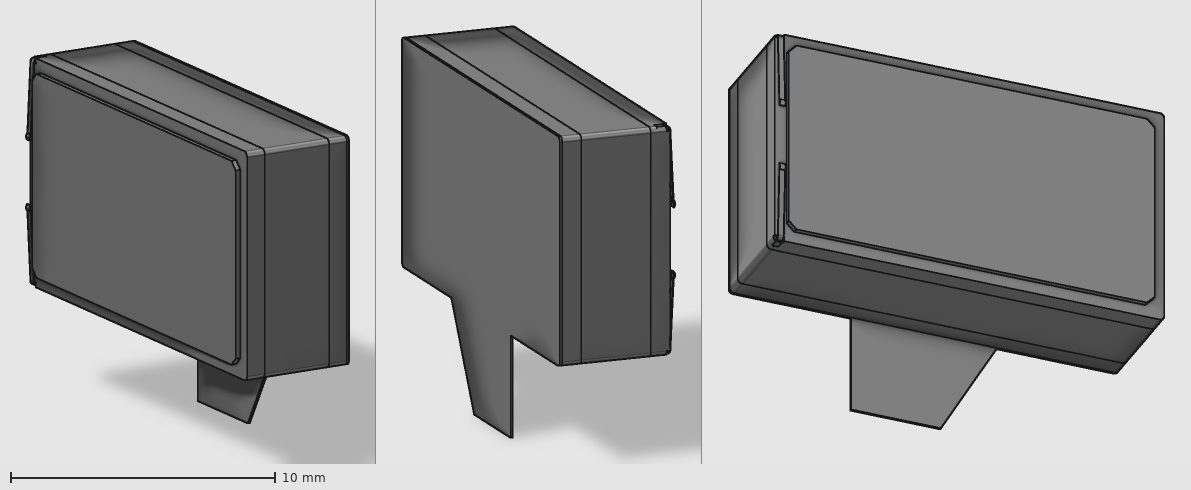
import cadquery as cq
import math

case_length = 16.0
case_height = 9.0
corner_diameter = 0.4
corner_radius = corner_diameter / 2
left_side = -case_length / 2
top_side = case_height / 2

plate_front = 0.1
rear_frame_front = 0.88
middle_frame_front = 3.71
case_front = 4.5

panel_front = 4.7
panel_margin = 0.5
panel_chamfer = 0.3

tail_left = left_side + 5.0
tail_right = left_side + 11.0
tail_length = 4.0
tail_slope_angle = 30.0

strip_thickness = 0.05
strip_width = 0.24
strip_left = left_side + 0.11
leg_rear = 4.0
leg_front = 4.37
leg_step = 0.05
blade_front = 4.56
bend_radius = 0.15
bend_rear = blade_front - bend_radius
tip_front = 4.75
tip_radius = 0.2
tip_half_angle = 45.0
tip_drop = 3.1

notch_width = 0.4
notch_height = leg_step + bend_radius


def slab(rear, front):
    """Layer of the case between two distances from the back face, with rounded corners."""
    return (
        cq.Workplane("XZ", origin=(0, -rear, 0))
        .rect(case_length, case_height)
        .extrude(front - rear)
        .edges("|Y")
        .fillet(corner_radius)
    )


def mirrored_to_bottom(body):
    return body.mirror("XY")


def make_back_plate():
    """Thin plate closing the back, with its tapered tail."""
    bottom_side = -top_side
    slope_run = tail_length * math.tan(math.radians(tail_slope_angle))
    tail_bottom = bottom_side - tail_length
    tail = (
        cq.Workplane("XZ")
        .polyline([
            (tail_left, 0),
            (tail_left, tail_bottom),
            (tail_right - slope_run, tail_bottom),
            (tail_right, bottom_side),
            (tail_right, 0),
        ])
        .close()
        .extrude(plate_front)
    )
    return slab(0, plate_front).union(tail)


def make_top_spring():
    """Strip with a leg sunk in the top face, a quarter bend, a slanted blade and a curved tip."""
    inner_bend = bend_radius - strip_thickness
    inner_tip = tip_radius - strip_thickness
    bend_centre_z = top_side - leg_step - bend_radius
    tip_centre_front = tip_front - tip_radius
    tip_centre_z = top_side - tip_drop

    def bend_point(radius, angle):
        """Point on the bend; the angle is measured from straight up, towards the front."""
        turn = math.radians(angle)
        return (-bend_rear - radius * math.sin(turn), bend_centre_z + radius * math.cos(turn))

    def tip_point(radius, angle):
        """Point on the tip; the angle is measured from straight ahead, upwards."""
        turn = math.radians(angle)
        return (-tip_centre_front - radius * math.cos(turn), tip_centre_z + radius * math.sin(turn))

    strip = (
        cq.Workplane("YZ", origin=(strip_left, 0, 0))
        .moveTo(-leg_rear, top_side)
        .lineTo(-leg_front, top_side)
        .lineTo(-leg_front, top_side - leg_step)
        .lineTo(*bend_point(bend_radius, 0))
        .threePointArc(bend_point(bend_radius, 45), bend_point(bend_radius, 90))
        .lineTo(*tip_point(tip_radius, tip_half_angle))
        .threePointArc(tip_point(tip_radius, 0), tip_point(tip_radius, -tip_half_angle))
        .lineTo(*tip_point(inner_tip, -tip_half_angle))
        .threePointArc(tip_point(inner_tip, 0), tip_point(inner_tip, tip_half_angle))
        .lineTo(*bend_point(inner_bend, 90))
        .threePointArc(bend_point(inner_bend, 45), bend_point(inner_bend, 0))
        .lineTo(-leg_rear, top_side - leg_step - strip_thickness)
        .close()
        .extrude(strip_width)
    )
    return strip.intersect(slab(0, tip_front))


def make_front_frame(springs):
    """Front layer with the raised panel, the corner notches and the recesses for the spring legs."""
    panel = (
        cq.Workplane("XZ", origin=(0, -case_front, 0))
        .rect(case_length - 2 * panel_margin, case_height - 2 * panel_margin)
        .extrude(panel_front - case_front)
        .edges("|Y")
        .chamfer(panel_chamfer)
    )
    top_notch = cq.Workplane().box(
        notch_width, case_front - leg_front, notch_height, centered=False
    ).translate((left_side, -case_front, top_side - notch_height))
    frame = slab(middle_frame_front, case_front).union(panel)
    for cutter in [top_notch, mirrored_to_bottom(top_notch), *springs]:
        frame = frame.cut(cutter)
    return frame


top_spring = make_top_spring()
springs = [top_spring, mirrored_to_bottom(top_spring)]

back_plate = make_back_plate()
rear_frame = slab(plate_front, rear_frame_front)
middle_frame = slab(rear_frame_front, middle_frame_front)
front_frame = make_front_frame(springs)

result = cq.Compound.makeCompound([
    back_plate.val(),
    rear_frame.val(),
    middle_frame.val(),
    front_frame.val(),
    *[spring.val() for spring in springs],
])